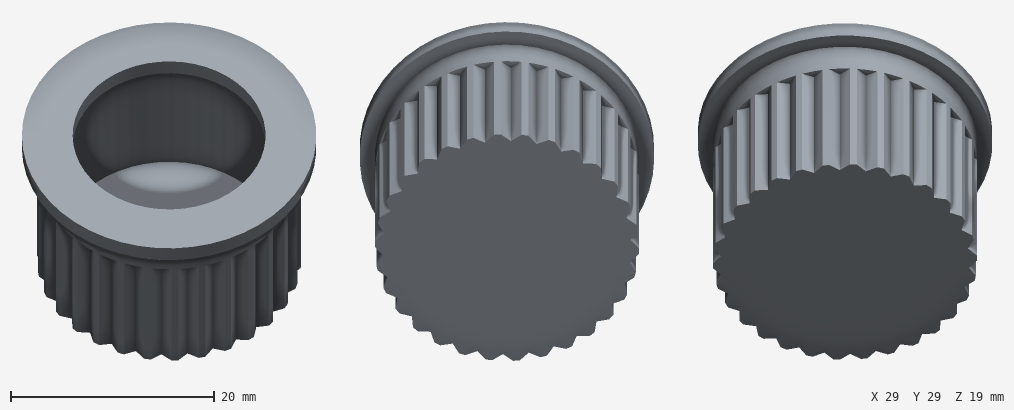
import cadquery as cq
import math

total_height = 19.0
flange_diameter = 29.0
flange_thickness = 1.8
body_diameter = 26.0

tooth_count = 30
grip_height = 14.0
tooth_tip_width = 0.67
valley_radius = 12.25

mouth_diameter = 19.0
bore_diameter = 22.0
floor_thickness = flange_thickness

body_radius = body_diameter / 2
body_height = total_height - flange_thickness
tooth_pitch = 360 / tooth_count


def cylinder(diameter, bottom, top):
    """Vertical cylinder on the part axis between two heights."""
    return cq.Workplane("XY").workplane(offset=bottom).circle(diameter / 2).extrude(top - bottom)


def groove_cutter():
    """V-shaped prism pointing at the axis from +X, with flanks extended past the body."""
    tip_half_angle = math.asin(tooth_tip_width / 2 / body_radius)
    groove_half_angle = math.radians(tooth_pitch / 2) - tip_half_angle
    edge_x = body_radius * math.cos(groove_half_angle)
    edge_y = body_radius * math.sin(groove_half_angle)
    outer_x = valley_radius + 2 * (edge_x - valley_radius)
    outer_y = 2 * edge_y
    profile = [(valley_radius, 0), (outer_x, -outer_y), (outer_x, outer_y)]
    return cq.Workplane("XY").polyline(profile).close().extrude(grip_height)


body = cylinder(body_diameter, 0, body_height)
cutter = groove_cutter()
first_groove = -90 + tooth_pitch / 2
for index in range(tooth_count):
    groove_angle = first_groove + index * tooth_pitch
    body = body.cut(cutter.rotate((0, 0, 0), (0, 0, 1), groove_angle))

flange = cylinder(flange_diameter, body_height, total_height)
bore = cylinder(bore_diameter, floor_thickness, body_height)
mouth = cylinder(mouth_diameter, body_height, total_height)

result = body.union(flange).cut(bore).cut(mouth)